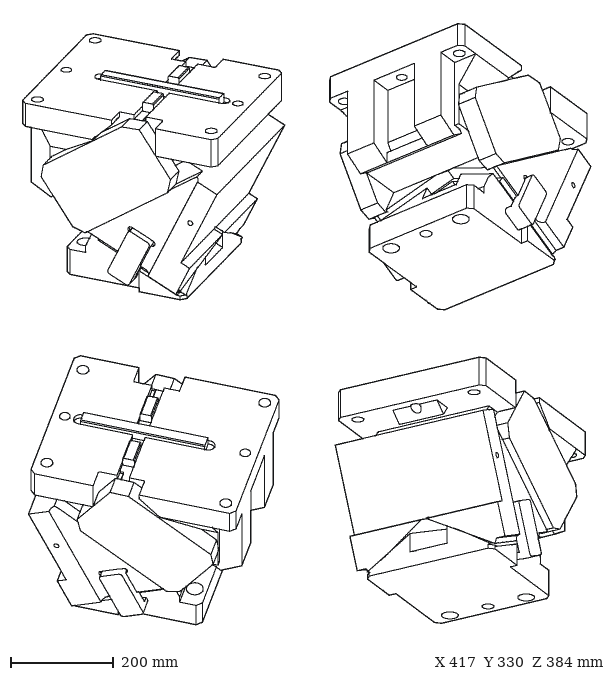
import cadquery as cq
import math


LENGTH = 417.0
WIDTH = 330.0
HEIGHT = 384.0
HALF_WIDTH = WIDTH / 2
THROUGH = 2 * LENGTH

GUIDE_ANGLE = 25.0
SLOPE_ANGLE = 35.0
GUIDE_COS = math.cos(math.radians(GUIDE_ANGLE))
GUIDE_SIN = math.sin(math.radians(GUIDE_ANGLE))
SLOPE_COS = math.cos(math.radians(SLOPE_ANGLE))
SLOPE_SIN = math.sin(math.radians(SLOPE_ANGLE))
SLOPE_FOOT = (134.5, 115.5)

ROOF_ANGLE = 30.0
EAVE_HALF = 137.5
EAVE_LEVEL = 152.0
ROOF_RISE = math.tan(math.radians(ROOF_ANGLE))

PLATE_LENGTH = 414.5
PLATE_TOP = 374.0
PLATE_BOTTOM_LEFT = 323.7
PLATE_BOTTOM_RIGHT = 314.5
PLATE_CHAMFER = 10.0
PLATE_STEP_X = 250.5
NOTCH_LEFT = 193.0
NOTCH_RIGHT = 286.0
NOTCH_SLANT_TOP = 363.8
NOTCH_SLANT_X = 152.0
NOTCH_HALF = 125.5
NOTCH_RADIUS = 4.0

KEY_WIDTH = 25.0
KEY_CHAMFER = 2.0
KEYWAY_FLOOR = 364.5
LONG_KEY_START = 103.5
LONG_KEY_END = 354.5
LONG_KEYWAY_LENGTH = 284.5
CROSS_KEY_X = 236.5
CROSS_KEY_WIDTH = 23.5
CROSS_KEY_LENGTH = 50.0
CROSS_KEY_Y = 62.0
RELIEF_WIDTH = 8.0
RELIEF_START_Y = 105.5
RELIEF_DEPTH = 4.0

HOLDER_HOLES = [(25.0, 140.0), (389.5, 129.7)]
SCREW_HOLE = 23.0
DOWEL_HOLE = 20.5

LEG_THICKNESS = 45.0
LEG_HALF = 114.0
LEG_BOTTOM = 177.5
LIP_TIP = (42.0, 153.0)
LIP_END = (66.7, 169.5)
LIP_HEEL = (61.5, 177.0)
LEG_SLOT_HALF = 49.2
LEG_SLOT_BOTTOM = 202.0
BLOCK_HALF = 124.0
BLOCK_END_ALONG = 266.5
GUSSET_BOTTOM = 268.5
SIDE_PLATE_CORNERS = [
    (3.5, 0),
    (217.0, 0),
    (239.5, 21.0),
    (239.5, 137.0),
    (208.0, 157.3),
    (5.0, 157.3),
    (-13.8, 138.5),
    (-13.8, 21.5),
]
LUG_OUTLINE = [(352.0, PLATE_BOTTOM_RIGHT), (368.0, 294.5), (394.0, PLATE_BOTTOM_RIGHT)]

SLIDER_BACK = 269.5
SLIDER_HEEL_BACK = 289.5
SLIDER_HEEL_TOP = 228.5
SLIDER_TOP = (LENGTH - SLIDER_BACK * GUIDE_COS) / GUIDE_SIN
SLIDER_BOTTOM = 159.8
SLIDER_HALF = 149.8
SKIRT_HALF = 140.5
SKIRT_RIM_HALF = 146.0
COVE_START = 208.5
COVE_RADIUS = HALF_WIDTH - SLIDER_HALF
RIDER_HEIGHT = 33.8
SKIRT_START = 100.0
NOSE_CLEARANCE = 10.0
SIDE_HOLE = (249.0, 318.7)
SIDE_HOLE_DIAMETER = 10.0
SIDE_HOLE_DEPTH = 21.0

HOOK_START = 148.5
HOOK_END = 199.0
HOOK_BOTTOM = 114.7
HOOK_TOP = 225.3
HOOK_RADIUS = 6.3
HOOK_INNER = 143.0
CLAW_INNER = 131.5
CLAW_TOP = 127.5
HOOK_RELIEF_RADIUS = 6.0
HOOK_RELIEF_DEPTH = 6.3

BASE_LEFT = 78.5
BASE_RIGHT = 339.0
BASE_HALF = 127.5
BASE_CHAMFER = 10.0
LEDGE_TOP = 54.5
BLOCK_LEFT = 122.0
GUIDE_START_HEIGHT = 69.5
EAVE_COVE = EAVE_HALF - BASE_HALF
FLANGE_LEFT = 242.0
FLANGE_HALF = 142.5
FLANGE_LEVEL = 144.0
FLANGE_TOE_X = 322.5
FLANGE_TOE_TOP = 8.5
GROOVE_HALF = 41.5
GROOVE_LEVEL = 172.0
BASE_HOLE_X = 103.0
BASE_HOLE_Y = 85.0
BASE_SCREW_HOLE = 32.5
BASE_DOWEL_HOLE = 23.0


def guide_point(s, n):
    """(x, z) of a point s along the falling guide direction and n above the guide axis."""
    return s * GUIDE_COS + n * GUIDE_SIN, n * GUIDE_COS - s * GUIDE_SIN


def slope_point(along, above):
    """(x, z) of a point on the holder slope's axes, from the slope's foot."""
    x = SLOPE_FOOT[0] + along * SLOPE_COS - above * SLOPE_SIN
    z = SLOPE_FOOT[1] + along * SLOPE_SIN + above * SLOPE_COS
    return x, z


def height_on_level(x, n):
    """Height at x of the line that runs along the guide at level n."""
    return (n - x * GUIDE_SIN) / GUIDE_COS


def roof_level(y):
    """Level of the roof-shaped guide surface at half width y."""
    return EAVE_LEVEL + (EAVE_HALF - y) * ROOF_RISE


def across(outline, half):
    """Extrude an (x, z) outline to the same distance on both sides of the middle."""
    return cq.Workplane("XZ").polyline(outline).close().extrude(half, both=True)


def with_mirror(shape):
    """A shape on the -Y side together with its mirror image."""
    return shape.union(shape.mirror("XZ"))


def side_pair(outline, inner, outer):
    """Extrude an (x, z) outline between two half widths, on both sides."""
    side = cq.Workplane("XZ", origin=(0, -inner, 0)).polyline(outline).close().extrude(outer - inner)
    return with_mirror(side)


def guide_section(start=0.0):
    """Workplane across the guide: local x is Y, local y is the level n."""
    x, z = guide_point(start, 0)
    plane = cq.Plane(origin=(x, 0, z), xDir=(0, 1, 0), normal=(GUIDE_COS, 0, -GUIDE_SIN))
    return cq.Workplane(plane)


def guide_side(y):
    """Workplane on the -Y side at half width y, with local axes s and n; extrudes outward."""
    return cq.Workplane(cq.Plane(origin=(0, -y, 0), xDir=(GUIDE_COS, 0, -GUIDE_SIN), normal=(0, -1, 0)))


def box_between(x1, x2, y1, y2, z1, z2):
    return cq.Workplane("XY").box(x2 - x1, y2 - y1, z2 - z1, centered=False).translate((x1, y1, z1))


def holder_plate():
    left = box_between(0, PLATE_LENGTH, -HALF_WIDTH, HALF_WIDTH, PLATE_BOTTOM_LEFT, PLATE_TOP)
    right = box_between(
        PLATE_STEP_X, PLATE_LENGTH, -HALF_WIDTH, HALF_WIDTH, PLATE_BOTTOM_RIGHT, PLATE_BOTTOM_LEFT
    )
    plate = left.union(right).edges("|Z and (<X or >X)").chamfer(PLATE_CHAMFER)
    notch = side_pair(
        [
            (NOTCH_LEFT, PLATE_TOP),
            (NOTCH_LEFT, NOTCH_SLANT_TOP),
            (NOTCH_SLANT_X, PLATE_BOTTOM_LEFT),
            (NOTCH_SLANT_X, PLATE_BOTTOM_RIGHT),
            (NOTCH_RIGHT, PLATE_BOTTOM_RIGHT),
            (NOTCH_RIGHT, PLATE_TOP),
        ],
        NOTCH_HALF,
        HALF_WIDTH,
    )
    inner_corner = cq.selectors.BoxSelector(
        (NOTCH_RIGHT - NOTCH_RADIUS, -NOTCH_HALF - NOTCH_RADIUS, 0),
        (NOTCH_RIGHT + NOTCH_RADIUS, NOTCH_HALF + NOTCH_RADIUS, HEIGHT),
    )
    notch = notch.edges("|Z").edges(inner_corner).fillet(NOTCH_RADIUS)
    return plate.cut(notch)


def holder_block():
    """Leg, lip and sloped block under the plate, with gussets up to the plate's edges."""
    leg = across(
        [
            (0, PLATE_BOTTOM_LEFT),
            (0, LEG_BOTTOM),
            LIP_TIP,
            LIP_END,
            LIP_HEEL,
            (LIP_HEEL[0], PLATE_BOTTOM_LEFT),
        ],
        LEG_HALF,
    )
    rider_foot = slope_point(0, RIDER_HEIGHT)
    block_bottom_x = rider_foot[0] + (LIP_HEEL[1] - rider_foot[1]) * SLOPE_COS / SLOPE_SIN
    block_end = slope_point(BLOCK_END_ALONG, RIDER_HEIGHT)
    end_top_x = block_end[0] - (KEYWAY_FLOOR - block_end[1]) * SLOPE_SIN / SLOPE_COS
    block = across(
        [
            (LEG_THICKNESS, PLATE_BOTTOM_LEFT),
            (LEG_THICKNESS, LIP_HEEL[1]),
            (block_bottom_x, LIP_HEEL[1]),
            block_end,
            (end_top_x, KEYWAY_FLOOR),
            (NOTCH_LEFT, KEYWAY_FLOOR),
        ],
        BLOCK_HALF,
    )
    gusset_section = [
        (-HALF_WIDTH, PLATE_BOTTOM_LEFT),
        (-BLOCK_HALF, GUSSET_BOTTOM),
        (BLOCK_HALF, GUSSET_BOTTOM),
        (HALF_WIDTH, PLATE_BOTTOM_LEFT),
    ]
    gussets = (
        cq.Workplane("YZ", origin=(LEG_THICKNESS, 0, 0))
        .polyline(gusset_section)
        .close()
        .extrude(NOTCH_SLANT_X - LEG_THICKNESS)
    )
    slot = across(
        [
            (0, PLATE_BOTTOM_LEFT),
            (0, LIP_TIP[1]),
            (LIP_TIP[0], LIP_TIP[1]),
            (LIP_TIP[0], LIP_HEEL[1]),
            LIP_HEEL,
            (LEG_THICKNESS, LEG_SLOT_BOTTOM),
            (LEG_THICKNESS, PLATE_BOTTOM_LEFT),
        ],
        LEG_SLOT_HALF,
    )
    return leg.union(block).union(gussets).cut(slot)


def keyways():
    long_center = (LONG_KEY_START + LONG_KEY_END) / 2
    long_way = (
        cq.Workplane("XY", origin=(long_center, 0, KEYWAY_FLOOR))
        .slot2D(LONG_KEYWAY_LENGTH, KEY_WIDTH)
        .extrude(HEIGHT - KEYWAY_FLOOR)
    )
    cross_right = CROSS_KEY_X + KEY_WIDTH / 2
    cross_way = box_between(
        CROSS_KEY_X - KEY_WIDTH / 2, cross_right, -NOTCH_HALF, NOTCH_HALF, KEYWAY_FLOOR, HEIGHT
    )
    relief = box_between(
        cross_right - RELIEF_WIDTH,
        cross_right,
        -NOTCH_HALF,
        -RELIEF_START_Y,
        KEYWAY_FLOOR - RELIEF_DEPTH,
        KEYWAY_FLOOR,
    )
    return long_way.union(cross_way).union(with_mirror(relief))


def keys():
    long_key = box_between(
        LONG_KEY_START, LONG_KEY_END, -KEY_WIDTH / 2, KEY_WIDTH / 2, KEYWAY_FLOOR, HEIGHT
    )
    cross_key = box_between(
        CROSS_KEY_X - CROSS_KEY_WIDTH / 2,
        CROSS_KEY_X + CROSS_KEY_WIDTH / 2,
        -CROSS_KEY_Y - CROSS_KEY_LENGTH / 2,
        -CROSS_KEY_Y + CROSS_KEY_LENGTH / 2,
        KEYWAY_FLOOR,
        HEIGHT,
    )
    long_key = long_key.faces(">Z").edges("|X").chamfer(KEY_CHAMFER)
    cross_key = cross_key.faces(">Z").edges("|Y").chamfer(KEY_CHAMFER)
    return long_key.union(with_mirror(cross_key))


def holder_holes():
    holes = cq.Workplane("XY")
    for x, y in HOLDER_HOLES:
        screws = cq.Workplane("XY").pushPoints([(x, -y), (x, y)]).circle(SCREW_HOLE / 2).extrude(THROUGH)
        dowel = cq.Workplane("XY").center(x, 0).circle(DOWEL_HOLE / 2).extrude(THROUGH)
        holes = holes.add(screws).add(dowel)
    return holes.combine()


def make_holder():
    body = holder_plate().union(holder_block())
    body = body.union(across(LUG_OUTLINE, LEG_SLOT_HALF))
    side_plate_outline = [slope_point(*corner) for corner in SIDE_PLATE_CORNERS]
    body = body.union(side_pair(side_plate_outline, BLOCK_HALF, HALF_WIDTH))
    return body.cut(keyways()).union(keys()).cut(holder_holes())


def slider_run(start, end, rim_half, edge_half, clearance):
    """Stretch of the slider's core.

    The underside is flat in to rim_half, bevelled from there to edge_half where the two differ,
    and then rises as a V that clears the guide roof by the given amount.
    """
    edge_level = roof_level(edge_half) + clearance
    outline = [
        (SLIDER_HALF, SLIDER_BOTTOM),
        (rim_half, SLIDER_BOTTOM),
        (edge_half, edge_level),
        (0, roof_level(0) + clearance),
        (-edge_half, edge_level),
        (-rim_half, SLIDER_BOTTOM),
        (-SLIDER_HALF, SLIDER_BOTTOM),
        (-SLIDER_HALF, SLIDER_TOP),
        (SLIDER_HALF, SLIDER_TOP),
    ]
    return guide_section(start).polyline(outline).close().extrude(end - start)


def slider_blank():
    """Slider cross-section run along the guide, with wide cheeks at the back beyond a cove."""
    nose_start = SLOPE_FOOT[0] * GUIDE_COS - SLOPE_FOOT[1] * GUIDE_SIN
    nose_half = EAVE_HALF - (SLIDER_BOTTOM - NOSE_CLEARANCE - EAVE_LEVEL) / ROOF_RISE
    nose = slider_run(nose_start, SKIRT_START, SKIRT_RIM_HALF, nose_half, NOSE_CLEARANCE)
    skirted = slider_run(SKIRT_START, SLIDER_HEEL_BACK, SKIRT_RIM_HALF, SKIRT_HALF, 0)
    core = nose.union(skirted)
    cheek_section = [
        (COVE_START, SLIDER_HALF),
        (SLIDER_HEEL_BACK, SLIDER_HALF),
        (SLIDER_HEEL_BACK, HALF_WIDTH),
        (COVE_START + COVE_RADIUS, HALF_WIDTH),
    ]
    x, z = guide_point(0, SLIDER_BOTTOM)
    bend = math.sqrt(0.5) * COVE_RADIUS
    cheek_plane = cq.Plane(
        origin=(x, 0, z), xDir=(GUIDE_COS, 0, -GUIDE_SIN), normal=(GUIDE_SIN, 0, GUIDE_COS)
    )
    cheek = (
        cq.Workplane(cheek_plane)
        .polyline(cheek_section)
        .threePointArc((COVE_START + bend, HALF_WIDTH - bend), cheek_section[0])
        .close()
        .extrude(SLIDER_TOP - SLIDER_BOTTOM)
    )
    return core.union(with_mirror(cheek))


def above_slope(height, half):
    """Everything more than a height above the holder slope, out to a half width."""
    outline = [
        slope_point(-LENGTH, height),
        slope_point(LENGTH, height),
        slope_point(LENGTH, LENGTH),
        slope_point(-LENGTH, LENGTH),
    ]
    return across(outline, half)


def hook_bar(inner):
    """Rounded bar on the -Y side, from a half width out to the full width."""
    return (
        guide_side(inner)
        .center((HOOK_START + HOOK_END) / 2, (HOOK_BOTTOM + HOOK_TOP) / 2)
        .rect(HOOK_END - HOOK_START, HOOK_TOP - HOOK_BOTTOM)
        .extrude(HALF_WIDTH - inner)
        .edges("|Y")
        .fillet(HOOK_RADIUS)
    )


def hooks():
    claw_zone = (
        guide_side(CLAW_INNER)
        .center((HOOK_START + HOOK_END) / 2, (HOOK_BOTTOM + CLAW_TOP) / 2)
        .rect(HOOK_END - HOOK_START, CLAW_TOP - HOOK_BOTTOM)
        .extrude(HALF_WIDTH - CLAW_INNER)
    )
    claw = hook_bar(CLAW_INNER).intersect(claw_zone)
    return with_mirror(hook_bar(HOOK_INNER).union(claw))


def hook_reliefs():
    """Round clearances in the slider's sides at the two upper corners of each hook."""
    corners = [(HOOK_START, HOOK_TOP - HOOK_RADIUS), (HOOK_END, HOOK_TOP - HOOK_RADIUS)]
    return with_mirror(
        guide_side(SLIDER_HALF - HOOK_RELIEF_DEPTH)
        .pushPoints(corners)
        .circle(HOOK_RELIEF_RADIUS)
        .extrude(HOOK_RELIEF_DEPTH)
    )


def make_slider():
    above_shoulders = above_slope(0, HALF_WIDTH).cut(above_slope(0, BLOCK_HALF))
    body = slider_blank().cut(above_shoulders).cut(above_slope(RIDER_HEIGHT, BLOCK_HALF))
    back_cut = (
        guide_side(-LENGTH)
        .center((SLIDER_BACK + SLIDER_HEEL_BACK) / 2, (SLIDER_HEEL_TOP + SLIDER_TOP) / 2)
        .rect(SLIDER_HEEL_BACK - SLIDER_BACK, SLIDER_TOP - SLIDER_HEEL_TOP)
        .extrude(2 * LENGTH)
    )
    side_holes = with_mirror(
        guide_side(HALF_WIDTH - SIDE_HOLE_DEPTH)
        .center(*SIDE_HOLE)
        .circle(SIDE_HOLE_DIAMETER / 2)
        .extrude(SIDE_HOLE_DEPTH)
    )
    return body.cut(back_cut).cut(side_holes).cut(hook_reliefs()).union(hooks())


def guide_roof():
    """Roof-shaped guide with coved eaves and a groove along its middle."""
    cove_bottom = EAVE_LEVEL - EAVE_COVE
    bend = math.sqrt(0.5) * EAVE_COVE
    start = BLOCK_LEFT * GUIDE_COS - GUIDE_START_HEIGHT * GUIDE_SIN
    roof = (
        guide_section(start)
        .moveTo(BASE_HALF, 0)
        .lineTo(BASE_HALF, cove_bottom)
        .threePointArc((EAVE_HALF - bend, cove_bottom + bend), (EAVE_HALF, EAVE_LEVEL))
        .lineTo(0, roof_level(0))
        .lineTo(-EAVE_HALF, EAVE_LEVEL)
        .threePointArc((bend - EAVE_HALF, cove_bottom + bend), (-BASE_HALF, cove_bottom))
        .lineTo(-BASE_HALF, 0)
        .close()
        .extrude(LENGTH)
    )
    groove = (
        guide_section(start)
        .center(0, GROOVE_LEVEL + LENGTH / 2)
        .rect(2 * GROOVE_HALF, LENGTH)
        .extrude(LENGTH)
    )
    limits = box_between(BLOCK_LEFT, BASE_RIGHT, -LENGTH, LENGTH, 0, LENGTH)
    return roof.cut(groove).intersect(limits)


def base_flanges():
    outline = [
        (FLANGE_LEFT, 0),
        (FLANGE_LEFT, height_on_level(FLANGE_LEFT, FLANGE_LEVEL)),
        (FLANGE_TOE_X, FLANGE_TOE_TOP),
        (BASE_RIGHT, FLANGE_TOE_TOP),
        (BASE_RIGHT, 0),
    ]
    return across(outline, FLANGE_HALF).edges("|Z and >X").chamfer(BASE_CHAMFER)


def make_base():
    ledge = box_between(BASE_LEFT, BLOCK_LEFT, -BASE_HALF, BASE_HALF, 0, LEDGE_TOP)
    ledge = ledge.edges("|Z and <X").chamfer(BASE_CHAMFER)
    body = ledge.union(guide_roof()).union(base_flanges())
    screws = (
        cq.Workplane("XY")
        .pushPoints([(BASE_HOLE_X, -BASE_HOLE_Y), (BASE_HOLE_X, BASE_HOLE_Y)])
        .circle(BASE_SCREW_HOLE / 2)
        .extrude(LEDGE_TOP)
    )
    dowel = cq.Workplane("XY").center(BASE_HOLE_X, 0).circle(BASE_DOWEL_HOLE / 2).extrude(LEDGE_TOP)
    return body.cut(screws).cut(dowel)


holder = make_holder()
slider = make_slider()
base = make_base()

result = cq.Compound.makeCompound([holder.solids().val(), slider.solids().val(), base.solids().val()])